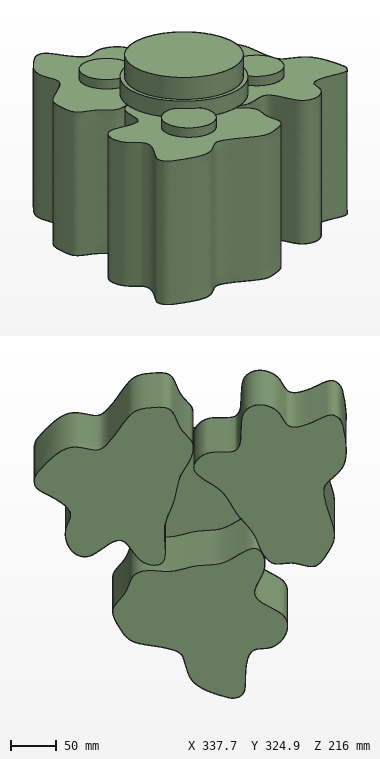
import cadquery as cq
import math

rotor_count = 3
rotor_pitch_radius = 94.5
first_rotor_direction = 90.0
rotor_spins = (0.0, 6.8, 3.6)

rotor_height = 170.0
pin_radius = 30.0
pin_height = 11.0

collar_radius = 70.0
collar_height = 20.0
shaft_radius = 65.0
overall_height = 216.0
shaft_height = overall_height - rotor_height - collar_height

top_lobe = [(73, 98.5), (85, 88.5), (100, 76.0), (110, 60.5), (117, 53.7), (133, 56.0)]
left_lobe = [(150, 74.5), (158, 87.2), (170, 96.3), (180, 101.5), (194, 90.2), (207, 89.0), (215, 80.0)]
inner_root = [(228, 61.5), (258, 54.0), (289, 61.5)]
inner_lobe = [(308, 92.0), (317, 86.5), (329, 64.5), (335, 58.5)]
right_lobe = [(353, 71.0), (363, 88.5), (370, 91.2), (378, 89.0), (388, 79.0), (397, 67.0)]
top_lobe_rise = [(412, 75.0), (418, 86.5), (425, 100.0)]
rotor_outline = top_lobe + left_lobe + inner_root + inner_lobe + right_lobe + top_lobe_rise


def polar_point(angle, radius):
    turn = math.radians(angle)
    return (radius * math.cos(turn), radius * math.sin(turn))


def ring_angle(index):
    """Angle from the first rotor to the rotor with this number."""
    return index * 360.0 / rotor_count


def rotor_centre(index):
    return polar_point(first_rotor_direction + ring_angle(index), rotor_pitch_radius)


def make_rotor(index):
    """A prism with a smooth lobed outline and a round pin on its top face."""
    points = [polar_point(angle, radius) for angle, radius in rotor_outline]
    prism = cq.Workplane("XY").spline(points, periodic=True).close().extrude(rotor_height)
    pin = cq.Workplane("XY").circle(pin_radius).extrude(rotor_height + pin_height)
    turn = ring_angle(index) + rotor_spins[index]
    return prism.union(pin).rotate((0, 0, 0), (0, 0, 1), turn).translate(rotor_centre(index))


def make_central_shaft():
    """A stepped shaft resting on the rotors, with its collar hollowed where the pins reach into it."""
    shaft = (
        cq.Workplane("XY", origin=(0, 0, rotor_height))
        .circle(collar_radius)
        .extrude(collar_height)
        .faces(">Z")
        .workplane()
        .circle(shaft_radius)
        .extrude(shaft_height)
    )
    pin_recesses = (
        cq.Workplane("XY", origin=(0, 0, rotor_height))
        .pushPoints([rotor_centre(index) for index in range(rotor_count)])
        .circle(pin_radius)
        .extrude(pin_height)
    )
    return shaft.cut(pin_recesses)


rotors = [make_rotor(index) for index in range(rotor_count)]
central_shaft = make_central_shaft()

result = cq.Compound.makeCompound([central_shaft.val(), *[rotor.val() for rotor in rotors]])